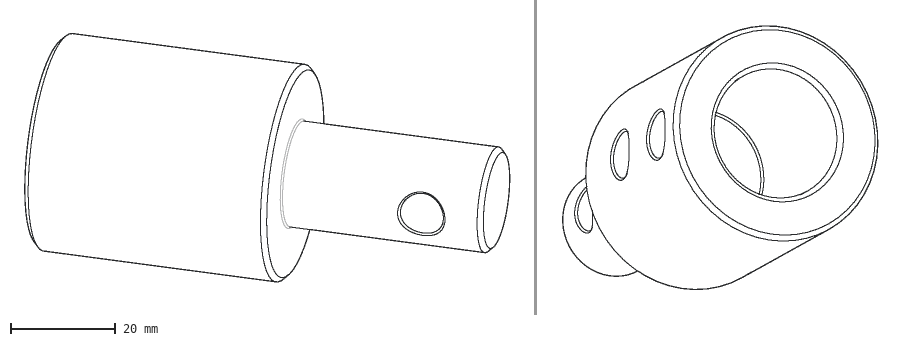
import cadquery as cq

total_length = 88.0
body_length = 48.05
body_diameter = 42.0
shank_diameter = 20.4
edge_chamfer = 1.0
shank_root_fillet = 0.35

bore_diameter = 25.2
bore_depth = 39.95
bore_floor_chamfer = 0.4

pin_hole_diameter = 8.5
pin_hole_x = 75.9
pin_hole_chamfer = 0.4
screw_hole_diameter = 9.0
screw_hole_positions = (10.0, 29.0)
screw_hole_chamfer = 0.4


def cylinder_along_y(x, start_y, length, diameter):
    return cq.Workplane("XZ", origin=(x, start_y, 0)).circle(diameter / 2).extrude(-length)


def make_turned_blank():
    """Body, shank and socket as one half profile revolved about X."""
    body_radius = body_diameter / 2
    shank_radius = shank_diameter / 2
    bore_radius = bore_diameter / 2
    profile = (
        cq.Workplane("XZ")
        .moveTo(0, bore_radius + edge_chamfer)
        .lineTo(0, body_radius - edge_chamfer)
        .lineTo(edge_chamfer, body_radius)
        .lineTo(body_length - edge_chamfer, body_radius)
        .lineTo(body_length, body_radius - edge_chamfer)
        .lineTo(body_length, shank_radius + shank_root_fillet)
        .radiusArc((body_length + shank_root_fillet, shank_radius), -shank_root_fillet)
        .lineTo(total_length - edge_chamfer, shank_radius)
        .lineTo(total_length, shank_radius - edge_chamfer)
        .lineTo(total_length, 0)
        .lineTo(bore_depth, 0)
        .lineTo(bore_depth, bore_radius - bore_floor_chamfer)
        .lineTo(bore_depth - bore_floor_chamfer, bore_radius)
        .lineTo(edge_chamfer, bore_radius)
        .close()
    )
    return profile.revolve(360, (0, 0, 0), (1, 0, 0))


def chamfer_rim(part, x, side, surface_radius, hole_diameter, chamfer):
    """Break the edge where a cross hole leaves the outer surface on one side (+1 or -1) of Y."""
    rim = cq.selectors.BoxSelector(
        (x - hole_diameter / 2, side * (surface_radius - hole_diameter / 2), -hole_diameter / 2),
        (x + hole_diameter / 2, side * surface_radius, hole_diameter / 2),
    )
    return part.edges("not %LINE").edges(rim).chamfer(chamfer)


def cut_pin_hole(part):
    """Through hole across the shank with both rims chamfered."""
    part = part.cut(cylinder_along_y(pin_hole_x, -shank_diameter, 2 * shank_diameter, pin_hole_diameter))
    for side in (1, -1):
        part = chamfer_rim(
            part, pin_hole_x, side, shank_diameter / 2, pin_hole_diameter, pin_hole_chamfer
        )
    return part


def cut_screw_holes(part):
    """Radial holes from the +Y side of the body into the socket, with chamfered outer rims."""
    for x in screw_hole_positions:
        part = part.cut(cylinder_along_y(x, 0, body_diameter, screw_hole_diameter))
        part = chamfer_rim(part, x, 1, body_diameter / 2, screw_hole_diameter, screw_hole_chamfer)
    return part


result = cut_screw_holes(cut_pin_hole(make_turned_blank()))